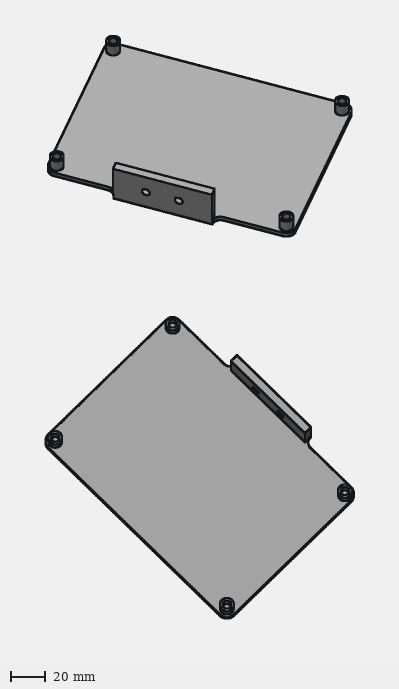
import cadquery as cq

plate_length = 150.0
plate_width = 106.0
plate_thickness = 3.0
corner_radius = 5.5

overall_width = 111.0
wall_length = 60.0
wall_height = 25.0
wall_center_x = plate_length / 2 - 2.1
wall_thickness = overall_width - plate_width
wall_front_y = -wall_thickness
wall_hole_diameter = 4.8
wall_hole_spacing = 20.0
wall_hole_height = wall_height / 2

web_radius = wall_thickness
web_left_start_x = 38.2
web_right_start_x = 108.1

standoff_diameter = 8.0
standoff_bore_diameter = 4.8
standoff_height = 8.0
left_front_shift = -0.5
standoff_centers = [
    (corner_radius + left_front_shift, corner_radius),
    (plate_length - corner_radius, corner_radius),
    (corner_radius, plate_width - corner_radius),
    (plate_length - corner_radius, plate_width - corner_radius),
]


def make_plate():
    plate = cq.Workplane("XY").box(plate_length, plate_width, plate_thickness, centered=False)
    return plate.edges("|Z").fillet(corner_radius)


def make_web_tab():
    """Tab below the wall, its ends hollowed by arcs tangent to the plate edge."""
    tab_length = web_right_start_x - web_left_start_x
    tab = (
        cq.Workplane("XY")
        .box(tab_length, wall_thickness, plate_thickness, centered=False)
        .translate((web_left_start_x, wall_front_y, 0))
    )
    arc_centers = [(web_left_start_x, -web_radius), (web_right_start_x, -web_radius)]
    hollows = cq.Workplane("XY").pushPoints(arc_centers).circle(web_radius).extrude(plate_thickness)
    return tab.cut(hollows)


def make_wall():
    wall = (
        cq.Workplane("XY")
        .box(wall_length, wall_thickness, wall_height - plate_thickness, centered=False)
        .translate((wall_center_x - wall_length / 2, wall_front_y, plate_thickness))
    )
    hole_centers = [
        (wall_center_x - wall_hole_spacing / 2, wall_hole_height),
        (wall_center_x + wall_hole_spacing / 2, wall_hole_height),
    ]
    holes = cq.Workplane("XZ").pushPoints(hole_centers).circle(wall_hole_diameter / 2).extrude(wall_thickness)
    return wall.cut(holes)


def make_standoffs():
    return (
        cq.Workplane("XY", origin=(0, 0, plate_thickness))
        .pushPoints(standoff_centers)
        .circle(standoff_diameter / 2)
        .circle(standoff_bore_diameter / 2)
        .extrude(standoff_height)
    )


result = make_plate().union(make_web_tab()).union(make_wall()).union(make_standoffs())